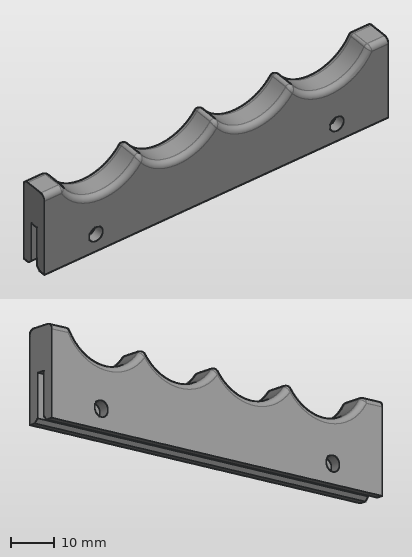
import cadquery as cq

width = 8.0
length = 100.0
height = 23.0

scallop_count = 4
scallop_pitch = 22.0
scallop_radius = 12.5
scallop_floor = 16.0
crest_radius = 1.0
edge_radius = 1.5

slot_width = 2.2
slot_depth = 12.0
mouth_chamfer = 1.0

hole_diameter = 4.0
hole_spacing = 70.0
hole_height = 5.0

SELECTION_MARGIN = 0.1


def make_scalloped_bar():
    """Block with scallops, rounded crests and rounded upper side edges."""
    bar = cq.Workplane("XY").box(width, length, height, centered=(True, True, False))
    first_centre = -scallop_pitch * (scallop_count - 1) / 2
    centres = [
        (first_centre + index * scallop_pitch, scallop_floor + scallop_radius)
        for index in range(scallop_count)
    ]
    for centre in centres:
        scallop = cq.Workplane("YZ").center(*centre).circle(scallop_radius).extrude(width, both=True)
        bar = bar.cut(scallop)

    crest_zone = cq.selectors.BoxSelector(
        (-width, -length / 2 + SELECTION_MARGIN, scallop_floor + SELECTION_MARGIN),
        (width, length / 2 - SELECTION_MARGIN, height + SELECTION_MARGIN),
    )
    bar = bar.edges("|X").edges(crest_zone).fillet(crest_radius)

    rim_zone = cq.selectors.BoxSelector(
        (-width, -length / 2 + SELECTION_MARGIN, scallop_floor - SELECTION_MARGIN),
        (width, length / 2 - SELECTION_MARGIN, height + SELECTION_MARGIN),
    )
    return bar.faces("<X or >X").edges(rim_zone).fillet(edge_radius)


def make_slot():
    """Full-length slot that widens at its open bottom."""
    half_slot = slot_width / 2
    half_mouth = half_slot + mouth_chamfer
    return (
        cq.Workplane("XZ")
        .moveTo(-half_mouth, 0)
        .lineTo(-half_slot, mouth_chamfer)
        .lineTo(-half_slot, slot_depth)
        .lineTo(half_slot, slot_depth)
        .lineTo(half_slot, mouth_chamfer)
        .lineTo(half_mouth, 0)
        .close()
        .extrude(length, both=True)
    )


def make_cross_holes():
    """Pair of round holes running along X."""
    hole_centres = [(side * hole_spacing / 2, hole_height) for side in (-1, 1)]
    return (
        cq.Workplane("YZ")
        .pushPoints(hole_centres)
        .circle(hole_diameter / 2)
        .extrude(width, both=True)
    )


result = make_scalloped_bar().cut(make_slot()).cut(make_cross_holes())